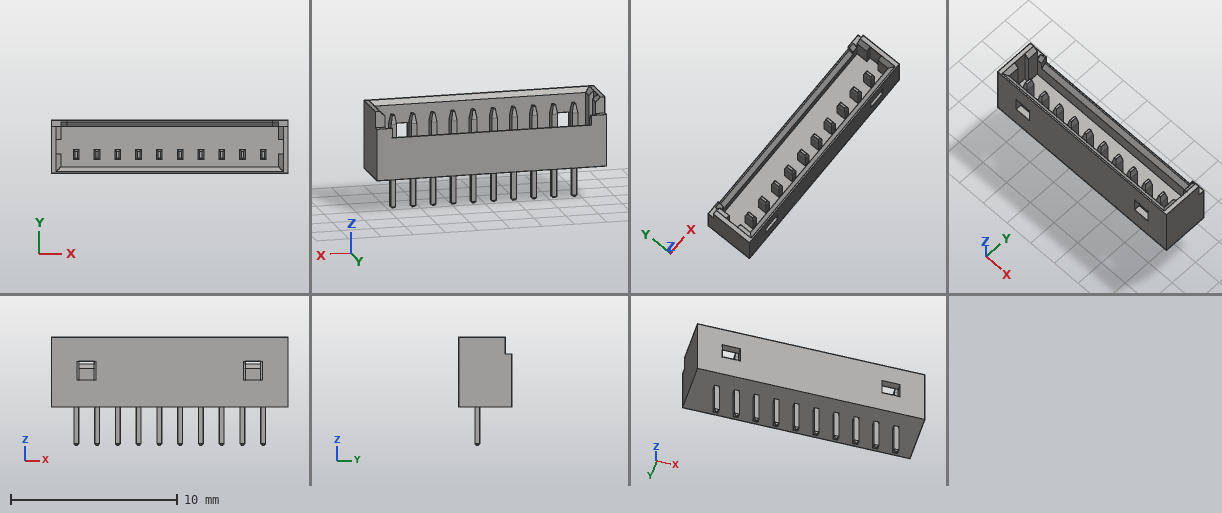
import cadquery as cq

LENGTH = 14.25
WIDTH = 3.2
HEIGHT = 4.2
WALL = 0.4
END_WALL = 0.58
FLOOR = 1.24
LEAD_IN = 0.3

END_STEP_DEPTH = 0.4
END_STEP_DROP = 1.0
REAR_DROP = 1.6
TAB_LENGTH = 0.95

SLOT_WIDTH = 0.87
WINDOW_SIZE = 1.13
WINDOW_SPACING = 10.0
WINDOW_BOTTOM = 1.62

PIN_COUNT = 10
PIN_ROW = 11.25
PIN_Y = 1.13
CONTACT_X = 0.34
CONTACT_Y = 0.6
CONTACT_TOP = 3.49
CONTACT_TAPER = 0.54
TAIL_SIZE = 0.3
TAIL_LENGTH = 2.3
TAIL_TAPER = 0.1
TIP_INSET = 0.1

PIN_PITCH = PIN_ROW / (PIN_COUNT - 1)
CAVITY_LENGTH = LENGTH - 2 * END_WALL
CAVITY_WIDTH = WIDTH - 2 * WALL


def box(x_size, y_min, y_max, z_min, z_max, x_center=0.0):
    """Block centred on x_center, spanning the given Y and Z ranges."""
    return (
        cq.Workplane("XY")
        .box(x_size, y_max - y_min, z_max - z_min, centered=(True, False, False))
        .translate((x_center, y_min, z_min))
    )


def frustum(x_size, y_size, inset, z_start, z_end):
    """Tapered block on the pin row, inset per side from z_start to z_end."""
    return (
        cq.Workplane("XY", origin=(0, PIN_Y, z_start))
        .rect(x_size, y_size)
        .workplane(offset=z_end - z_start)
        .rect(x_size - 2 * inset, y_size - 2 * inset)
        .loft(combine=True)
    )


def rear_bevel(x_size, top):
    """Wedge that bevels the inner top edge of the rear wall."""
    inner = WIDTH - WALL
    return (
        cq.Workplane("YZ", origin=(-x_size / 2, 0, 0))
        .polyline([(inner, top - LEAD_IN), (inner + LEAD_IN, top), (inner, top)])
        .close()
        .extrude(x_size)
    )


def mouth_bevel():
    """Flared cut that bevels the cavity mouth at the front and end walls."""
    flare = 2 * LEAD_IN
    return (
        cq.Workplane("XY", origin=(0, WIDTH / 2, HEIGHT - LEAD_IN))
        .rect(CAVITY_LENGTH, CAVITY_WIDTH)
        .workplane(offset=LEAD_IN)
        .rect(CAVITY_LENGTH + flare, CAVITY_WIDTH + flare)
        .loft(combine=True)
    )


def make_housing():
    step_top = HEIGHT - END_STEP_DROP
    rear_top = HEIGHT - REAR_DROP
    rear_inner = WIDTH - WALL
    body = box(LENGTH, 0, WIDTH, 0, HEIGHT)

    body = body.cut(box(CAVITY_LENGTH, WALL, rear_inner, FLOOR, HEIGHT))
    body = body.cut(mouth_bevel())

    body = body.cut(box(LENGTH, WIDTH - END_STEP_DEPTH, WIDTH, step_top, HEIGHT))
    body = body.cut(box(CAVITY_LENGTH, rear_inner, WIDTH, step_top, HEIGHT))
    body = body.cut(rear_bevel(CAVITY_LENGTH, step_top))
    gap = LENGTH - 2 * TAB_LENGTH
    body = body.cut(box(gap, rear_inner, WIDTH, rear_top, HEIGHT))
    body = body.cut(rear_bevel(gap, rear_top))

    slot_front = (WIDTH - SLOT_WIDTH) / 2
    slot_span = CAVITY_LENGTH + 2 * LEAD_IN
    body = body.cut(box(slot_span, slot_front, slot_front + SLOT_WIDTH, FLOOR, HEIGHT))

    for side in (-1, 1):
        window_x = side * WINDOW_SPACING / 2
        window_top = WINDOW_BOTTOM + WINDOW_SIZE
        body = body.cut(box(WINDOW_SIZE, 0, WALL, WINDOW_BOTTOM, window_top, window_x))
    return body


def make_pin():
    taper_start = CONTACT_TOP - CONTACT_TAPER
    tail_end = TAIL_TAPER - TAIL_LENGTH
    contact = box(CONTACT_X, PIN_Y - CONTACT_Y / 2, PIN_Y + CONTACT_Y / 2, 0, taper_start)
    tail = box(TAIL_SIZE, PIN_Y - TAIL_SIZE / 2, PIN_Y + TAIL_SIZE / 2, tail_end, 0)
    top_tip = frustum(CONTACT_X, CONTACT_Y, TIP_INSET, taper_start, CONTACT_TOP)
    tail_tip = frustum(TAIL_SIZE, TAIL_SIZE, TIP_INSET, tail_end, -TAIL_LENGTH)
    return contact.union(tail).union(top_tip).union(tail_tip)


result = make_housing()
pin = make_pin()
for index in range(PIN_COUNT):
    pin_x = index * PIN_PITCH - PIN_ROW / 2
    result = result.union(pin.translate((pin_x, 0, 0)))